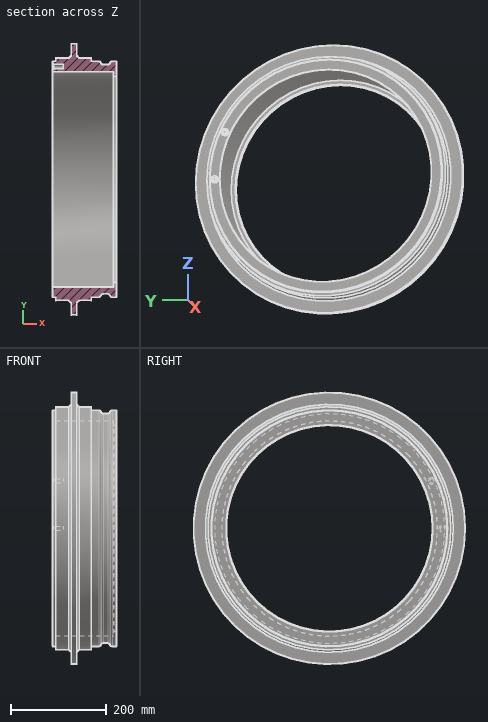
import cadquery as cq
import math

length = 135.0
front_collar_end = 7.0
flange_start = 39.0
flange_end = 51.0
rear_band_end = 82.0
groove_start = 97.5
groove_end = 125.0

flange_radius = 284.5
band_radius = 254.5
body_radius = 247.5
groove_depth = 7.0
bore_radius = 225.5
lip_radius = 215.5

flange_root = 5.0
edge_chamfer = 1.0
groove_round = 4.5
groove_flank_angle = 60
lip_width = 7.0
lip_chamfer = 1.0
bore_chamfer = 0.5

hole_circle_radius = (body_radius + bore_radius) / 2
hole_angles = (0, -25)
hole_diameter = 8.5
countersink_diameter = 15.0
countersink_angle = 90
hole_depth = 23.0


def make_ring():
    """Revolve the stepped wall section about the X axis."""
    section = [
        (bore_chamfer, bore_radius),
        (0, bore_radius + bore_chamfer),
        (0, body_radius - edge_chamfer),
        (edge_chamfer, body_radius),
        (front_collar_end, body_radius),
        (front_collar_end, band_radius),
        (flange_start - flange_root, band_radius),
        (flange_start, band_radius + flange_root),
        (flange_start, flange_radius),
        (flange_end, flange_radius),
        (flange_end, band_radius + flange_root),
        (flange_end + flange_root, band_radius),
        (rear_band_end, band_radius),
        (rear_band_end, body_radius),
        (length - edge_chamfer, body_radius),
        (length, body_radius - edge_chamfer),
        (length, lip_radius + lip_chamfer),
        (length - lip_chamfer, lip_radius),
        (length - lip_width + lip_chamfer, lip_radius),
        (length - lip_width, lip_radius + lip_chamfer),
        (length - lip_width, bore_radius),
    ]
    return cq.Workplane("XY").polyline(section).close().revolve(360, (0, 0, 0), (1, 0, 0))


def make_groove():
    """Ring cutter with sloped flanks, rounded at the rims and at the floor."""
    floor_radius = body_radius - groove_depth
    slope = math.radians(groove_flank_angle)
    tangent = groove_round * math.tan(slope / 2)
    flank_run = groove_depth / math.tan(slope)
    arc_run = groove_round * math.sin(slope)
    arc_drop = groove_round * (1 - math.cos(slope))
    half_run = groove_round * math.sin(slope / 2)
    half_drop = groove_round * (1 - math.cos(slope / 2))
    floor_start = groove_start + 2 * tangent + flank_run
    floor_end = groove_end - 2 * tangent - flank_run
    return (
        cq.Workplane("XY")
        .moveTo(groove_start, body_radius)
        .threePointArc(
            (groove_start + half_run, body_radius - half_drop),
            (groove_start + arc_run, body_radius - arc_drop),
        )
        .lineTo(floor_start - arc_run, floor_radius + arc_drop)
        .threePointArc(
            (floor_start - half_run, floor_radius + half_drop),
            (floor_start, floor_radius),
        )
        .lineTo(floor_end, floor_radius)
        .threePointArc(
            (floor_end + half_run, floor_radius + half_drop),
            (floor_end + arc_run, floor_radius + arc_drop),
        )
        .lineTo(groove_end - arc_run, body_radius - arc_drop)
        .threePointArc(
            (groove_end - half_run, body_radius - half_drop),
            (groove_end, body_radius),
        )
        .close()
        .revolve(360, (0, 0, 0), (1, 0, 0))
    )


def drill_front_holes(ring):
    """Drill the countersunk blind holes, at angles measured from +Y toward -Z."""
    centers = [
        (
            -hole_circle_radius * math.cos(math.radians(angle)),
            -hole_circle_radius * math.sin(math.radians(angle)),
        )
        for angle in hole_angles
    ]
    front_face = cq.Plane(origin=(0, 0, 0), xDir=(0, -1, 0), normal=(-1, 0, 0))
    return (
        ring.copyWorkplane(cq.Workplane(front_face))
        .pushPoints(centers)
        .cskHole(hole_diameter, countersink_diameter, countersink_angle, hole_depth)
    )


result = drill_front_holes(make_ring().cut(make_groove()))